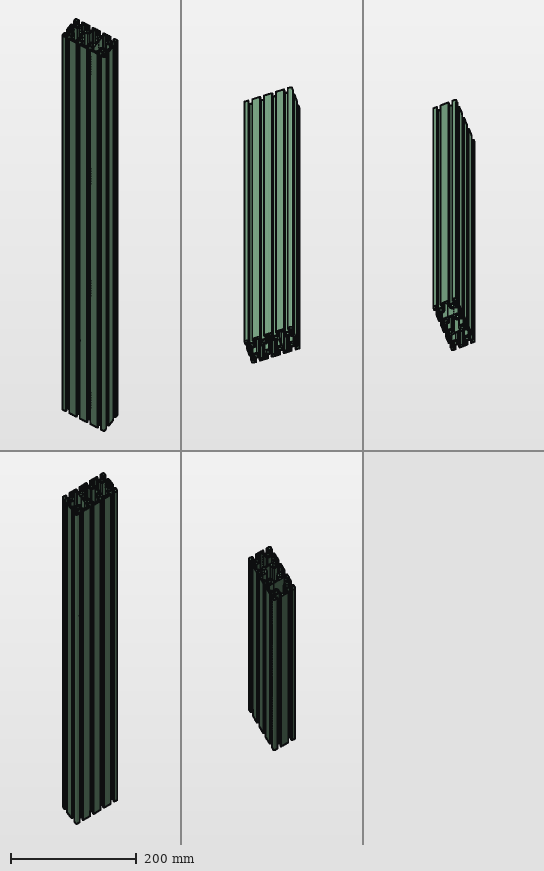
import cadquery as cq
import math

length = 1000.0
module = 20.0
columns = 4
rows = 2
width = columns * module
depth = rows * module
corner_radius = 1.5
skin_thickness = 2.5

mouth_half_width = 3.0
mouth_chamfer = 0.5
pocket_half_width = 5.5
pocket_wall_end = 3.5
floor_depth = 6.4
floor_half_width = 1.8
floor_side_angle = 16.5

hollow_half_width = 5.0
tip_half_width = 1.4
core_chamfer = 2.2
web_thickness = 1.5

core_bore_diameter = 5.0

groove_half_width = 1.0
groove_depth = 0.07

tip_x = width / 2 - skin_thickness
tip_y = depth / 2 - skin_thickness
tip_slope = hollow_half_width - tip_half_width
core_edge = hollow_half_width + core_chamfer

column_centres = [module * (i - (columns - 1) / 2) for i in range(columns)]
row_centres = [module * (i - (rows - 1) / 2) for i in range(rows)]
column_borders = [module * (i - columns / 2) for i in range(1, columns)]
row_borders = [module * (i - rows / 2) for i in range(1, rows)]


def base_plane():
    return cq.Workplane("XY").workplane(offset=-length / 2)


def prism(points):
    """Full-length prism over a closed outline."""
    return base_plane().polyline(points).close().extrude(length)


def with_mirror_in_x(points):
    """Outline continued by its mirror image across the Y axis."""
    return points + [(-x, y) for x, y in reversed(points)]


def with_mirror_in_y(points):
    """Outline continued by its mirror image across the X axis."""
    return points + [(x, -y) for x, y in reversed(points)]


def slot_tool():
    """T-slot cutter with the outer face at y = 0 and the floor towards -Y."""
    floor_rise = (mouth_half_width - floor_half_width) * math.tan(math.radians(floor_side_angle))
    right_side = [
        (mouth_half_width + mouth_chamfer, 0),
        (mouth_half_width, -mouth_chamfer),
        (mouth_half_width, -skin_thickness),
        (pocket_half_width, -skin_thickness),
        (pocket_half_width, -pocket_wall_end),
        (mouth_half_width, floor_rise - floor_depth),
        (floor_half_width, -floor_depth),
    ]
    return prism(with_mirror_in_x(right_side))


def groove_tool():
    """V-groove cutter with the outer face at y = 0."""
    return prism([(-groove_half_width, 0), (0, -groove_depth), (groove_half_width, 0)])


def cut_on_all_sides(body, tool, x_places, y_places):
    """Cut the tool into the front and back at x_places and into both ends at y_places."""
    positions = []
    for x in x_places:
        positions.append((0, x, depth / 2))
        positions.append((180, x, -depth / 2))
    for y in y_places:
        positions.append((90, -width / 2, y))
        positions.append((-90, width / 2, y))
    for angle, x, y in positions:
        body = body.cut(tool.rotate((0, 0, 0), (0, 0, 1), angle).translate((x, y, 0)))
    return body


def centre_hollow():
    """Cross-shaped hollow on the axis, its X arms ending at the two upright webs."""
    web_face = module - hollow_half_width - web_thickness
    quarter = [
        (web_face, hollow_half_width),
        (core_edge, hollow_half_width),
        (hollow_half_width, core_edge),
        (hollow_half_width, tip_y - tip_slope),
        (tip_half_width, tip_y),
    ]
    return prism(with_mirror_in_y(with_mirror_in_x(quarter)))


def side_hollow():
    """Hollow on the +X side: an upright channel with one arm towards the end face."""
    upper_half = [
        (tip_x, tip_half_width),
        (tip_x - tip_slope, hollow_half_width),
        (module + core_edge, hollow_half_width),
        (module + hollow_half_width, core_edge),
        (module + hollow_half_width, tip_y - tip_slope),
        (module + tip_half_width, tip_y),
        (module - tip_half_width, tip_y),
        (module - hollow_half_width, tip_y - tip_slope),
    ]
    return prism(with_mirror_in_y(upper_half))


def core_bores():
    """Bores through the middle of every module."""
    centres = [(x, y) for x in column_centres for y in row_centres]
    return base_plane().pushPoints(centres).circle(core_bore_diameter / 2).extrude(length)


profile = cq.Workplane("XY").box(width, depth, length).edges("|Z").fillet(corner_radius)
profile = cut_on_all_sides(profile, slot_tool(), column_centres, row_centres)
profile = cut_on_all_sides(profile, groove_tool(), column_borders, row_borders)
profile = profile.cut(centre_hollow())
profile = profile.cut(side_hollow())
profile = profile.cut(side_hollow().mirror("YZ"))
result = profile.cut(core_bores())